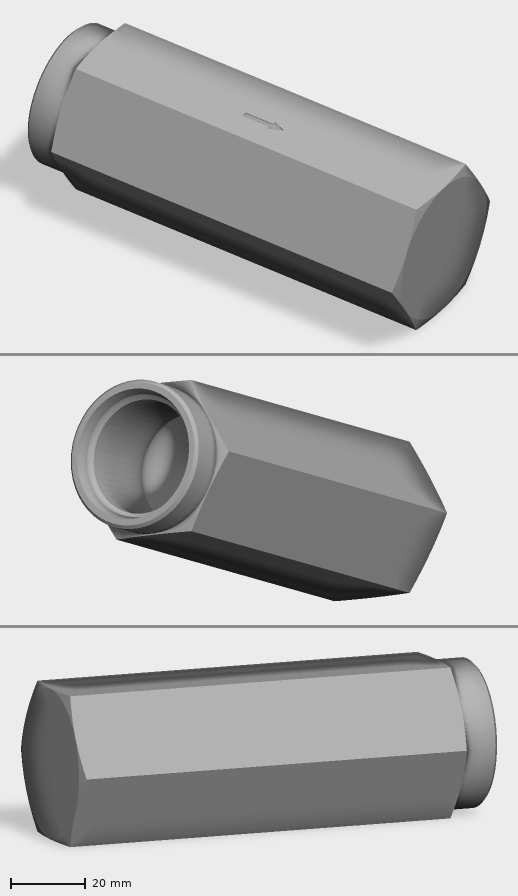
import cadquery as cq
import math

total_length = 121.4
across_corners = 47.7
across_flats = across_corners * math.cos(math.radians(30))

collar_length = 9.6
collar_diameter = 40.7
collar_chamfer = 0.8

hex_end_diameter = 41.0
hex_chamfer_angle = 15.0

mouth_diameter = 35.6
seat_end_diameter = 33.8
seat_depth = 3.4
bore_diameter = 31.1
bore_depth = 29.1
taper_angle = 45.0
drill_point_angle = 118.0

arrow_start = 59.0
arrow_tip = 71.9
arrow_y = -3.2
head_length = 4.0
head_width = 3.3
shaft_width = 1.6
arrow_depth = 0.2

collar_start = -total_length / 2
hex_start = collar_start + collar_length
hex_end = total_length / 2


def revolve_about_x(points):
    """Turn a closed outline of (x, radius) points about the X axis."""
    return cq.Workplane("XY").polyline(points).close().revolve(360, (0, 0, 0), (1, 0, 0))


def make_collar():
    """Cylinder with a chamfered front rim."""
    collar = cq.Workplane("YZ", origin=(collar_start, 0, 0)).circle(collar_diameter / 2).extrude(collar_length)
    return collar.faces("<X").edges().chamfer(collar_chamfer)


def make_hexagon():
    """Hexagonal bar with flats facing up and down, its corners turned back at both ends."""
    bar = (
        cq.Workplane("YZ", origin=(hex_start, 0, 0))
        .polygon(6, across_corners)
        .extrude(hex_end - hex_start)
    )
    corner_radius = across_corners / 2
    end_radius = hex_end_diameter / 2
    chamfer_length = (corner_radius - end_radius) * math.tan(math.radians(hex_chamfer_angle))
    envelope = revolve_about_x([
        (hex_start, 0),
        (hex_start, end_radius),
        (hex_start + chamfer_length, corner_radius),
        (hex_end - chamfer_length, corner_radius),
        (hex_end, end_radius),
        (hex_end, 0),
    ])
    return bar.intersect(envelope)


def make_bore():
    """Blind hole narrowing in two cones along the axis, ending in a drill point."""
    seat_end_radius = seat_end_diameter / 2
    bore_radius = bore_diameter / 2
    taper_length = (seat_end_radius - bore_radius) / math.tan(math.radians(taper_angle))
    point_length = bore_radius / math.tan(math.radians(drill_point_angle / 2))
    return revolve_about_x([
        (collar_start, 0),
        (collar_start, mouth_diameter / 2),
        (collar_start + seat_depth, seat_end_radius),
        (collar_start + seat_depth + taper_length, bore_radius),
        (collar_start + bore_depth, bore_radius),
        (collar_start + bore_depth + point_length, 0),
    ])


def make_arrow():
    """Shallow arrow pointing in the flow direction, from the inlet towards +X."""
    tail_x = collar_start + arrow_start
    tip_x = collar_start + arrow_tip
    head_x = tip_x - head_length
    upper_half = [
        (tail_x, shaft_width / 2),
        (head_x, shaft_width / 2),
        (head_x, head_width / 2),
    ]
    lower_half = [(x, -y) for x, y in reversed(upper_half)]
    outline = upper_half + [(tip_x, 0)] + lower_half
    floor = across_flats / 2 - arrow_depth
    return cq.Workplane("XY", origin=(0, arrow_y, floor)).polyline(outline).close().extrude(arrow_depth)


result = make_collar().union(make_hexagon()).cut(make_bore()).cut(make_arrow())